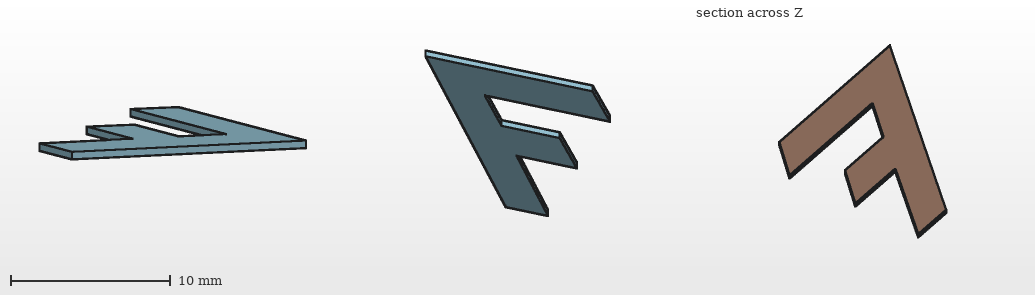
import cadquery as cq

width = 12.85
height = 11.87
thickness = 0.5

band = height / 5
top_bar_bottom = height - band
middle_bar_top = top_bar_bottom - band
middle_bar_bottom = middle_bar_top - band

top_bar_left = 1.89
gap_right_top = 8.21
gap_right_bottom = 6.37
middle_bar_top_left = 2.57
middle_bar_bottom_left = 0.7
stem_left_top = 4.65
foot_left = 1.1
foot_right = 3.89

outline = [
    (foot_left, 0),
    (foot_right, 0),
    (width, height),
    (top_bar_left, height),
    (0, top_bar_bottom),
    (gap_right_top, top_bar_bottom),
    (gap_right_bottom, middle_bar_top),
    (middle_bar_top_left, middle_bar_top),
    (middle_bar_bottom_left, middle_bar_bottom),
    (stem_left_top, middle_bar_bottom),
]

result = cq.Workplane("XY").polyline(outline).close().extrude(thickness)